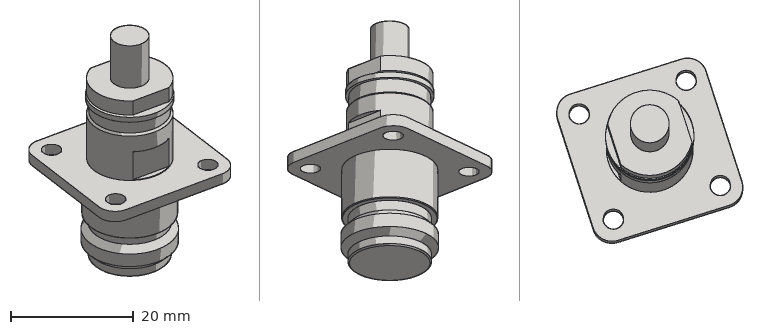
import cadquery as cq


flange_side = 25.4
flange_thickness = 2.0
flange_corner_radius = 3.2
hole_spacing = 18.26
hole_diameter = 3.3

shell_diameter = 15.65
lower_neck_diameter = 13.6
ring_diameter = 15.9

body_diameter = 14.1
groove_diameter = 13.35
collar_diameter = 14.4
upper_neck_diameter = 10.6
nut_diameter = body_diameter
rod_diameter = 6.3

across_flats = 12.15
body_flat_rise = 0.15
body_flat_bottom = flange_thickness + body_flat_rise
body_flat_height = 5.35

tip_length = 1.62
ring_band_length = 2.40
lower_neck_length = 1.73
shell_length = 8.73
tip_chamfer = 0.25
shell_chamfer = 0.15
ring_bevel = (ring_diameter - lower_neck_diameter) / 2

body_length = 8.9
groove_length = 2.4
collar_length = 0.95
upper_neck_length = 0.35
nut_length = 2.7
rod_length = 8.14
body_chamfer = (body_diameter - groove_diameter) / 2

shell_bottom = -shell_length
ring_top = shell_bottom - lower_neck_length
ring_band_top = ring_top - ring_bevel
ring_band_bottom = ring_band_top - ring_band_length
ring_bottom = ring_band_bottom - ring_bevel
tip_bottom = ring_bottom - tip_length

body_top = flange_thickness + body_length
collar_bottom = body_top + groove_length
collar_top = collar_bottom + collar_length
nut_bottom = collar_top + upper_neck_length
nut_top = nut_bottom + nut_length


def cylinder(diameter, bottom, top):
    """Round bar on the Z axis between two levels."""
    return cq.Workplane("XY").workplane(offset=bottom).circle(diameter / 2).extrude(top - bottom)


def between_flats(turned, bottom, top):
    """Cut a turned piece to the across-flats width in X between two levels."""
    cutter_size = 2 * turned.val().BoundingBox().xlen
    height = top - bottom
    stock = cq.Workplane("XY").workplane(offset=bottom).rect(cutter_size, cutter_size).extrude(height)
    kept = cq.Workplane("XY").workplane(offset=bottom).rect(across_flats, cutter_size).extrude(height)
    return turned.cut(stock.cut(kept))


def make_flange():
    """Square plate with rounded corners and four through holes."""
    return (
        cq.Workplane("XY")
        .rect(flange_side, flange_side)
        .extrude(flange_thickness)
        .edges("|Z")
        .fillet(flange_corner_radius)
        .faces(">Z")
        .workplane()
        .rect(hole_spacing, hole_spacing, forConstruction=True)
        .vertices()
        .hole(hole_diameter)
    )


def make_lower_end():
    """Shell, neck and bevelled ring below the flange."""
    shell = cylinder(shell_diameter, shell_bottom, 0).faces("<Z").chamfer(shell_chamfer)
    core = cylinder(lower_neck_diameter, tip_bottom, 0).faces("<Z").chamfer(tip_chamfer)
    ring = cylinder(ring_diameter, ring_bottom, ring_top)
    ring = ring.faces("<Z or >Z").chamfer(ring_bevel)
    return shell.union(core).union(ring)


def make_body():
    """Body above the flange, chamfered at the top, with two wrench flats."""
    body = cylinder(body_diameter, flange_thickness, body_top).faces(">Z").chamfer(body_chamfer)
    return between_flats(body, body_flat_bottom, body_flat_bottom + body_flat_height)


def make_nut():
    """Nut at the top, with two wrench flats over its full height."""
    return between_flats(cylinder(nut_diameter, nut_bottom, nut_top), nut_bottom, nut_top)


def make_upper_end():
    """Body, grooved collar, nut and rod above the flange."""
    return (
        make_body()
        .union(cylinder(groove_diameter, body_top, collar_bottom))
        .union(cylinder(collar_diameter, collar_bottom, collar_top))
        .union(cylinder(upper_neck_diameter, collar_top, nut_bottom))
        .union(make_nut())
        .union(cylinder(rod_diameter, nut_top, nut_top + rod_length))
    )


result = make_flange().union(make_lower_end()).union(make_upper_end())